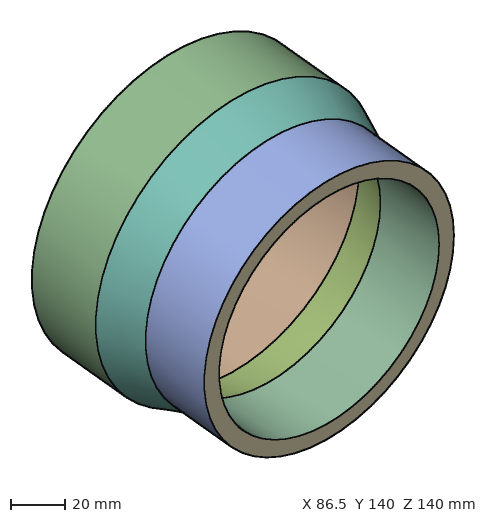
import cadquery as cq

total_length = 86.5
large_length = 35.1
cone_length = 19.2

large_outer_radius = 140 / 2
large_inner_radius = 123.5 / 2
small_outer_radius = 125.0 / 2
small_inner_radius = 110.0 / 2

cone_start = large_length
cone_end = large_length + cone_length


def stepped_body(large_radius, small_radius):
    """Solid of revolution: large cylinder, cone, small cylinder along +X."""
    return (
        cq.Workplane("XY")
        .moveTo(0, 0)
        .lineTo(0, large_radius)
        .lineTo(cone_start, large_radius)
        .lineTo(cone_end, small_radius)
        .lineTo(total_length, small_radius)
        .lineTo(total_length, 0)
        .close()
        .revolve(360, (0, 0, 0), (1, 0, 0))
    )


outside = stepped_body(large_outer_radius, small_outer_radius)
bore = stepped_body(large_inner_radius, small_inner_radius)
result = outside.cut(bore)